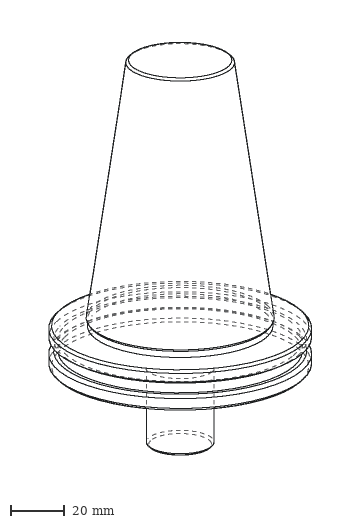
import cadquery as cq

total_height = 151.8
taper_length = 101.7
gauge_radius = 34.9
taper_slope = 7 / 24 / 2
taper_tip_chamfer = 0.9

neck_radius = 34.5
neck_step_height = 0.8
flange_top = -3.2

flange_radius = 97.5 / 2
flange_thickness = 16.0
flange_chamfer = 1.0
groove_floor_radius = 45.4
groove_width = 4.4
groove_chamfer_height = 1.0
groove_chamfer_depth = 1.8
groove_middle = -11.0

stub_radius = 12.6
stub_chamfer = 0.9
stub_root_fillet = 1.4

flange_bottom = flange_top - flange_thickness
stub_bottom = taper_length - total_height


def cylinder(radius, bottom, top):
    """Upright cylinder on the Z axis between two heights."""
    return cq.Workplane("XY").workplane(offset=bottom).circle(radius).extrude(top - bottom)


def revolve_profile(points):
    """Full turn about Z of a closed outline given as (radius, height) points."""
    return cq.Workplane("XZ").polyline(points).close().revolve(360, (0, 0), (0, 1))


def make_taper():
    """Tool taper with a chamfered tip and a small step back to the neck."""
    tip_radius = gauge_radius - taper_length * taper_slope
    taper = revolve_profile([
        (0, -neck_step_height),
        (neck_radius, -neck_step_height),
        (gauge_radius, 0),
        (tip_radius, taper_length),
        (0, taper_length),
    ])
    return taper.faces(">Z").chamfer(taper_tip_chamfer)


def make_flange():
    """Chamfered disc with the groove cut around its rim."""
    flange = cylinder(flange_radius, flange_bottom, flange_top).edges().chamfer(flange_chamfer)
    groove_top = groove_middle + groove_width / 2
    groove_bottom = groove_middle - groove_width / 2
    chamfer_start_radius = flange_radius - groove_chamfer_depth
    groove = revolve_profile([
        (groove_floor_radius, groove_bottom),
        (chamfer_start_radius, groove_bottom),
        (flange_radius, groove_bottom - groove_chamfer_height),
        (flange_radius, groove_top + groove_chamfer_height),
        (chamfer_start_radius, groove_top),
        (groove_floor_radius, groove_top),
    ])
    return flange.cut(groove)


def make_stub():
    """Stub with a chamfered free end and a concave fillet at its root."""
    stub = cylinder(stub_radius, stub_bottom, flange_bottom).faces("<Z").chamfer(stub_chamfer)
    fillet_bottom = flange_bottom - stub_root_fillet
    collar_top = flange_bottom + stub_root_fillet
    arc_offset = stub_root_fillet * (1 - 0.5 ** 0.5)
    collar = (
        cq.Workplane("XZ")
        .moveTo(0, fillet_bottom)
        .lineTo(stub_radius, fillet_bottom)
        .threePointArc(
            (stub_radius + arc_offset, flange_bottom - arc_offset),
            (stub_radius + stub_root_fillet, flange_bottom),
        )
        .lineTo(stub_radius + stub_root_fillet, collar_top)
        .lineTo(0, collar_top)
        .close()
        .revolve(360, (0, 0), (0, 1))
    )
    return stub.union(collar)


neck = cylinder(neck_radius, flange_top, -neck_step_height)
result = make_taper().union(neck).union(make_flange()).union(make_stub())